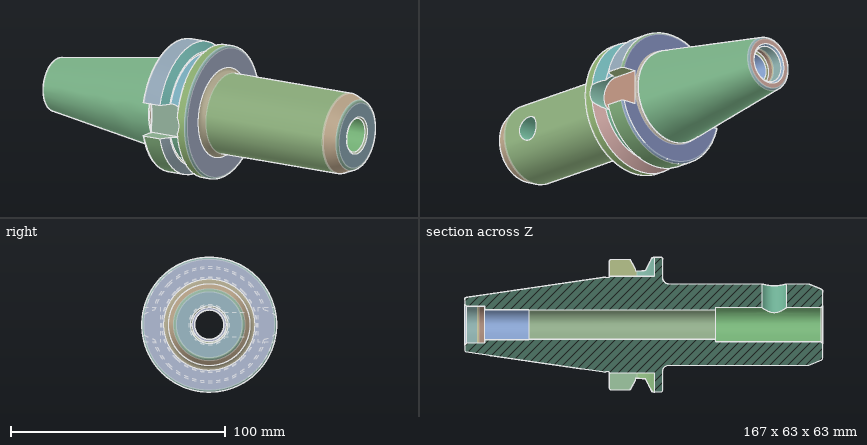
import cadquery as cq
import math


taper_length = 65.4
gauge_diameter = 44.45
taper_ratio = 7 / 24
taper_end_round = 1.0

neck_diameter = 44.0
neck_step_length = 0.5
neck_root_fillet = 0.5
flange_start = 2.0
flange_end = 27.0
flange_diameter = 63.0
flange_edge_round = 1.0

groove_center = 16.6
groove_bottom_width = 4.6
groove_depth = 5.2
groove_wall_angle = 30.0
groove_front_relief_depth = 0.8

slot_width = 16.1
slot_end = 23.0
slot_floor_distance = 22.6

shank_diameter = 38.1
shank_fillet_radius = 3.0
shank_fillet_reach = 2.2
nose_end = 101.6
nose_cone_length = 6.7
nose_face_diameter = 32.7
nose_edge_round = 1.5
nose_cone_blend_radius = 1.5

mouth_diameter = 19.0
pilot_diameter = 17.0
pilot_depth = 6.0
relief_diameter = 17.07
relief_length = 3.4
relief_lead_length = 0.8
thread_diameter = 13.84
thread_depth = 30.0
through_diameter = 13.5
tool_bore_diameter = 15.88
tool_bore_depth = 50.0
tool_mouth_diameter = 17.6

screw_hole_diameter = 11.33
screw_hole_from_nose = 22.7


def revolve_profile(sketch):
    """Close an axial half-section and turn it around X."""
    return sketch.close().revolve(360, (0, 0, 0), (1, 0, 0))


def make_taper():
    end_radius = (gauge_diameter - taper_length * taper_ratio) / 2
    body = revolve_profile(
        cq.Workplane("XY")
        .moveTo(-taper_length, 0)
        .lineTo(-taper_length, end_radius)
        .lineTo(0, gauge_diameter / 2)
        .lineTo(0, 0)
    )
    return body.faces("<X").edges().fillet(taper_end_round)


def make_neck():
    """Neck with a conical step behind the taper and a quarter-round root at the flange."""
    radius = neck_diameter / 2
    fillet_leg = neck_root_fillet * (1 - math.sqrt(0.5))
    return revolve_profile(
        cq.Workplane("XY")
        .lineTo(0, gauge_diameter / 2)
        .lineTo(neck_step_length, radius)
        .lineTo(flange_start - neck_root_fillet, radius)
        .threePointArc(
            (flange_start - fillet_leg, radius + fillet_leg),
            (flange_start, radius + neck_root_fillet),
        )
        .lineTo(flange_start, 0)
    )


def make_flange():
    flange = (
        cq.Workplane("YZ", origin=(flange_start, 0, 0))
        .circle(flange_diameter / 2)
        .extrude(flange_end - flange_start)
        .edges()
        .fillet(flange_edge_round)
    )
    return flange.cut(make_groove())


def make_groove():
    """V-groove cutter; the wall nearer the taper stops short and drops straight to the bottom."""
    outer_radius = flange_diameter / 2
    root_radius = outer_radius - groove_depth
    front_wall_depth = groove_depth - groove_front_relief_depth
    wall_slope = math.tan(math.radians(groove_wall_angle))
    front_x = groove_center - groove_bottom_width / 2
    back_x = groove_center + groove_bottom_width / 2
    return revolve_profile(
        cq.Workplane("XY")
        .moveTo(front_x - front_wall_depth * wall_slope, outer_radius)
        .lineTo(front_x, outer_radius - front_wall_depth)
        .lineTo(front_x, root_radius)
        .lineTo(back_x, root_radius)
        .lineTo(back_x + groove_depth * wall_slope, outer_radius)
    )


def make_drive_slot(side):
    """Round-ended slot cutter on the +Y (side = 1) or -Y (side = -1) side."""
    half_width = slot_width / 2
    round_center = slot_end - half_width
    cutter = (
        cq.Workplane("XZ", origin=(0, slot_floor_distance, 0))
        .moveTo(0, -half_width)
        .lineTo(round_center, -half_width)
        .threePointArc((slot_end, 0), (round_center, half_width))
        .lineTo(0, half_width)
        .close()
        .extrude(-flange_diameter / 2)
    )
    if side > 0:
        return cutter
    return cutter.mirror("XZ")


def make_shank():
    radius = shank_diameter / 2
    cone_start = nose_end - nose_cone_length
    rise = shank_fillet_radius - shank_fillet_reach
    run = math.sqrt(shank_fillet_radius**2 - rise**2)
    start_angle = math.atan2(rise, run)
    middle_angle = (start_angle + math.pi / 2) / 2
    fillet_center_x = flange_end + run
    fillet_center_r = radius + shank_fillet_radius
    fillet_middle = (
        fillet_center_x - shank_fillet_radius * math.cos(middle_angle),
        fillet_center_r - shank_fillet_radius * math.sin(middle_angle),
    )
    shank = revolve_profile(
        cq.Workplane("XY")
        .moveTo(flange_end, 0)
        .lineTo(flange_end, radius + shank_fillet_reach)
        .threePointArc(fillet_middle, (fillet_center_x, radius))
        .lineTo(cone_start, radius)
        .lineTo(nose_end, nose_face_diameter / 2)
        .lineTo(nose_end, 0)
    )
    cone_start_edge = cq.selectors.NearestToPointSelector((cone_start, 0, 0))
    shank = shank.edges(cone_start_edge).fillet(nose_cone_blend_radius)
    return shank.faces(">X").edges().fillet(nose_edge_round)


def make_bore():
    """Stepped bore with a 45 degree lead-in at each mouth."""
    mouth = mouth_diameter / 2
    pilot = pilot_diameter / 2
    relief = relief_diameter / 2
    thread = thread_diameter / 2
    through = through_diameter / 2
    tool_bore = tool_bore_diameter / 2
    tool_mouth = tool_mouth_diameter / 2
    pilot_bottom = -taper_length + pilot_depth
    relief_bottom = pilot_bottom + relief_length
    thread_bottom = -taper_length + thread_depth
    tool_bore_bottom = nose_end - tool_bore_depth
    return revolve_profile(
        cq.Workplane("XY")
        .moveTo(-taper_length, 0)
        .lineTo(-taper_length, mouth)
        .lineTo(-taper_length + mouth - pilot, pilot)
        .lineTo(pilot_bottom, pilot)
        .lineTo(pilot_bottom + relief_lead_length, relief)
        .lineTo(relief_bottom, relief)
        .lineTo(relief_bottom, thread)
        .lineTo(thread_bottom, thread)
        .lineTo(thread_bottom, through)
        .lineTo(tool_bore_bottom, through)
        .lineTo(tool_bore_bottom, tool_bore)
        .lineTo(nose_end - (tool_mouth - tool_bore), tool_bore)
        .lineTo(nose_end, tool_mouth)
        .lineTo(nose_end, 0)
    )


def make_screw_hole():
    return (
        cq.Workplane("XZ", origin=(nose_end - screw_hole_from_nose, 0, 0))
        .circle(screw_hole_diameter / 2)
        .extrude(-shank_diameter / 2)
    )


result = make_taper().union(make_neck()).union(make_flange()).union(make_shank())
for slot_side in (1, -1):
    result = result.cut(make_drive_slot(slot_side))
result = result.cut(make_bore()).cut(make_screw_hole())